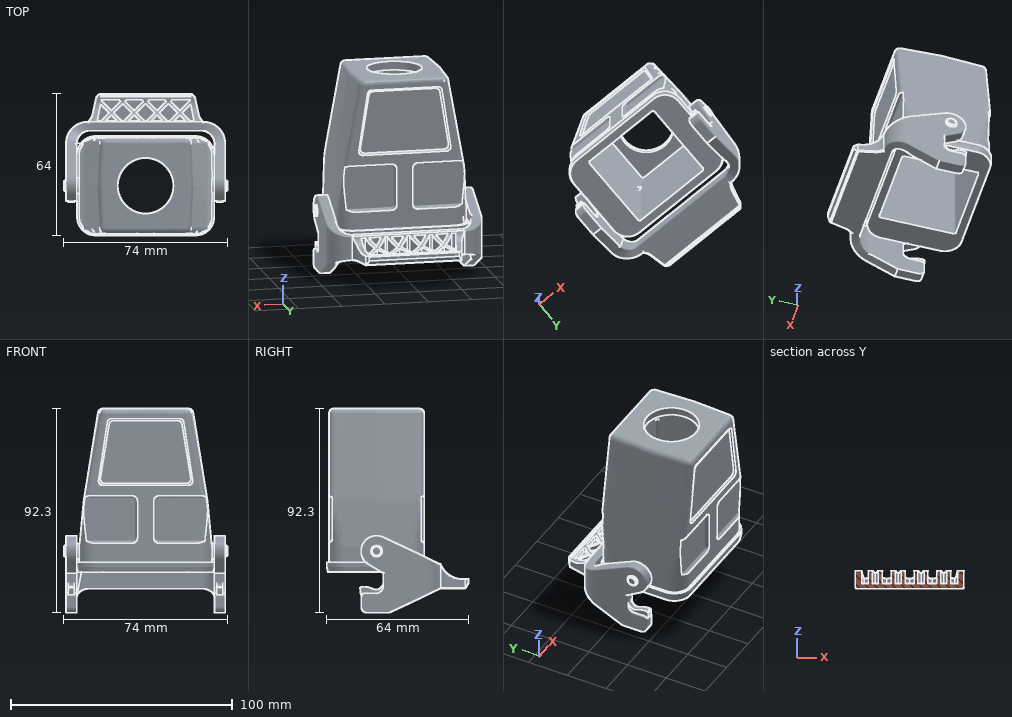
import cadquery as cq
import math


hood_height = 73.9
hood_half_depth = 21.55
base_half_width = 30.0
waist_half_width = 28.0
top_half_width = 21.25
top_side_slope = 0.048
lower_side_slope = 0.005
base_corner_radius = 7.5
shoulder_corner_radius = 7.0
upper_corner_radius = 2.6
top_edge_radius = 2.4
taper_start_z = 11.3
shoulder_z = 15.0
blend_end_z = 28.3
waist_z = 32.2

flange_half_width = 31.0
flange_half_depth = 22.5
flange_corner_radius = 8.5
flange_height = 4.6
flange_draft_height = 2.3
flange_draft = 0.5

cable_hole_diameter = 25.0
ceiling_thickness = 4.0
cavity_half_width = 19.0
cavity_half_depth = 18.0
cavity_top_half_width = 17.0
cavity_corner_radius = 1.0
cavity_taper_z = 57.7

window_depth = 0.8
window_bottom = 39.2
window_top = 69.3
window_bottom_half_width = 21.6
window_top_half_width = 17.0
window_border = 0.85
window_corner_radius = 2.0
grip_depth = 1.45
grip_inner_x = 3.65
grip_bottom = 13.05
grip_top = 34.5
grip_side_border = 1.15
grip_top_border = 0.65
grip_corner_radius = 2.5
grip_floor_corner_radius = 1.2
grip_floor_fillet = 0.35

pivot_z = 9.5
pivot_boss_diameter = 7.0
pivot_pin_diameter = 5.1
pivot_pin_end = 37.0
pivot_pin_chamfer = 0.55

arm_inner_x = flange_half_width
arm_outer_x = 36.0
arm_end_radius = 7.0
arm_bottom = -18.4
arm_bottom_corner_y = 5.6
arm_tip_y = -6.95
arm_tip_radius = 2.8
bar_outer_y = 28.9
bar_inner_y = 24.8
bar_top = 3.7
bar_bottom = -7.5
bend_start_y = 19.0
bend_outer_radius = bar_outer_y - bend_start_y
bend_inner_radius = bar_inner_y - bend_start_y
bend_curve_steps = 12
lever_edge_radius = 0.55
tolerance = 0.001

slot_wall_y = 3.0
slot_top = -0.4
slot_bottom = -9.5
slot_radius = 3.2
jaw_corner_radius = 1.6

latch_width = 2.8
latch_bottom = -10.1
latch_embedment = 1.0
latch_top = -5.0
latch_tip = (-7.5, -7.1)
latch_foot_y = -7.2
latch_curve = [(2.0, -6.9), (0.0, -7.85), (-2.5, -7.1), (-5.0, -6.5), (-7.0, -6.6)]

handle_tip_y = 41.5
handle_top = -3.0
handle_flat_y = 37.7
handle_slope_middle = (31.5, -0.2)
handle_flare_middle = (24.8, 30.3)
handle_tip_half_width = 22.3
handle_tip_corner = 1.5
handle_flare_y = 32.3
handle_flare_half_width = 24.0
handle_root_half_width = 26.0
handle_root_inset = 1.0
handle_undercut_y = 1.5
handle_undercut_z = 2.5
handle_bottom_chamfer = 0.45
handle_groove_size = 0.3
handle_groove_pitch = 0.6
handle_groove_half_length = 20.3

grille_floor = -5.0
grille_front_y = 29.3
grille_back_y = 38.7
grille_front_half_width = 21.8
grille_back_half_width = 20.0
grille_crossings = 4
grille_pitch = 10.3
grille_crossing_y = 32.9
grille_rib_width = 1.4


def rounded_section(half_width, half_depth, radius, z, side_slope=0.0):
    """Horizontal rounded rectangle; its two sides are widest at Y = 0 and slope away from there."""
    x, y = half_width - side_slope * (half_depth - radius), half_depth
    cut = radius * (1 - math.sqrt(0.5))
    return (
        cq.Workplane("XY", origin=(0, 0, z))
        .moveTo(-x + radius, -y)
        .lineTo(x - radius, -y)
        .threePointArc((x - cut, -y + cut), (x, -y + radius))
        .lineTo(half_width, 0)
        .lineTo(x, y - radius)
        .threePointArc((x - cut, y - cut), (x - radius, y))
        .lineTo(-x + radius, y)
        .threePointArc((-x + cut, y - cut), (-x, y - radius))
        .lineTo(-half_width, 0)
        .lineTo(-x, -y + radius)
        .threePointArc((-x + cut, -y + cut), (-x + radius, -y))
        .close()
        .val()
    )


def ruled_loft(sections):
    return cq.Workplane(cq.Solid.makeLoft(sections, True))


def hood_shell():
    depth = hood_half_depth

    def lower_section(radius, z):
        lean_share = max(0, z - taper_start_z) / (waist_z - taper_start_z)
        half_width = base_half_width + lean_share * (waist_half_width - base_half_width)
        return rounded_section(half_width, depth, radius, z, lower_side_slope)

    sections = [
        lower_section(base_corner_radius, 0),
        lower_section(base_corner_radius, taper_start_z),
        lower_section(shoulder_corner_radius, shoulder_z),
        lower_section(upper_corner_radius, blend_end_z),
        lower_section(upper_corner_radius, waist_z),
        rounded_section(top_half_width, depth, upper_corner_radius, hood_height, top_side_slope),
    ]
    return ruled_loft(sections).faces(">Z").edges().fillet(top_edge_radius)


def flange():
    def section(inset, z):
        return rounded_section(
            flange_half_width - inset, flange_half_depth - inset, flange_corner_radius - inset, z
        )

    return ruled_loft(
        [section(flange_draft, 0), section(0, flange_draft_height), section(0, flange_height)]
    )


def cavity():
    shaft = (
        cq.Workplane("XY")
        .rect(2 * cavity_half_width, 2 * cavity_half_depth)
        .extrude(cavity_taper_z)
        .edges("|Z")
        .fillet(cavity_corner_radius)
    )
    throat = (
        cq.Workplane("XZ", origin=(0, cavity_half_depth, 0))
        .polyline(
            [
                (-cavity_half_width, cavity_taper_z),
                (cavity_half_width, cavity_taper_z),
                (cavity_top_half_width, hood_height - ceiling_thickness),
                (-cavity_top_half_width, hood_height - ceiling_thickness),
            ]
        )
        .close()
        .extrude(2 * cavity_half_depth)
        .edges("not (|Y or |X)")
        .fillet(cavity_corner_radius)
    )
    return shaft.union(throat)


def panel_section(corners, radius, depth):
    """Rounded polygon of (x, z) corners, set `depth` inside the front face."""
    plane = cq.Plane(origin=(0, -hood_half_depth + depth, 0), xDir=(1, 0, 0), normal=(0, -1, 0))
    outline = cq.Workplane(plane).polyline(corners).close().wire().val()
    return outline.fillet2D(radius, outline.Vertices())


def panel(face_corners, floor_corners, face_radius, floor_radius, depth):
    face = panel_section(face_corners, face_radius, 0)
    floor = panel_section(floor_corners, floor_radius, depth)
    return ruled_loft([floor, face])


def window():
    def corners(border):
        low, high = window_bottom_half_width - border, window_top_half_width - border
        bottom, top = window_bottom + border, window_top - border
        return [(-low, bottom), (low, bottom), (high, top), (-high, top)]

    return panel(
        corners(0), corners(window_border), window_corner_radius, window_corner_radius, window_depth
    )


def grip():
    outside_x = arm_outer_x

    def corners(side_border, top_border):
        left, bottom, top = grip_inner_x + side_border, grip_bottom + side_border, grip_top - top_border
        return [(left, bottom), (outside_x, bottom), (outside_x, top), (left, top)]

    return panel(
        corners(0, 0),
        corners(grip_side_border, grip_top_border),
        grip_corner_radius,
        grip_floor_corner_radius,
        grip_depth,
    ).faces(">Y").edges().fillet(grip_floor_fillet)


def pivot_pin():
    boss_start = cavity_half_width
    boss = (
        cq.Workplane("YZ", origin=(boss_start, 0, pivot_z))
        .circle(pivot_boss_diameter / 2)
        .extrude(arm_inner_x - boss_start)
    )
    pin = (
        cq.Workplane("YZ", origin=(boss_start, 0, pivot_z))
        .circle(pivot_pin_diameter / 2)
        .extrude(pivot_pin_end - boss_start)
        .faces(">X")
        .chamfer(pivot_pin_chamfer)
    )
    return boss.union(pin)


def make_hood():
    hood = hood_shell()
    right_grip = grip()
    for front_recess in (window(), right_grip, right_grip.mirror("YZ")):
        hood = hood.cut(front_recess).cut(front_recess.mirror("XZ"))
    hood = hood.union(flange()).cut(cavity())
    cable_hole = cq.Workplane("XY").circle(cable_hole_diameter / 2).extrude(hood_height)
    hood = hood.cut(cable_hole)
    pin = pivot_pin()
    return hood.union(pin).union(pin.mirror("YZ"))


def tangent_point(y, z, side):
    """Point where the line from (y, z) touches the round arm end; side is +1 or -1."""
    dy, dz = y, z - pivot_z
    angle = math.atan2(dz, dy) + side * math.acos(arm_end_radius / math.hypot(dy, dz))
    return (arm_end_radius * math.cos(angle), pivot_z + arm_end_radius * math.sin(angle))


top_touch = tangent_point(bar_outer_y, bar_top, 1)
slot_touch = tangent_point(slot_wall_y, slot_top, -1)
top_slope = (bar_top - top_touch[1]) / (bar_outer_y - top_touch[0])
bottom_slope = (bar_bottom - arm_bottom) / (bar_outer_y - arm_bottom_corner_y)


def arm_top_z(y):
    return bar_top + top_slope * (y - bar_outer_y)


def arm_bottom_z(y):
    return bar_bottom + bottom_slope * (y - bar_outer_y)


def arm():
    outline = (
        cq.Workplane("YZ", origin=(arm_inner_x, 0, 0))
        .moveTo(bend_start_y, arm_top_z(bend_start_y))
        .lineTo(*top_touch)
        .threePointArc((-arm_end_radius, pivot_z), slot_touch)
        .lineTo(slot_wall_y, slot_top)
        .lineTo(slot_wall_y, slot_bottom + slot_radius)
        .radiusArc((slot_wall_y - slot_radius, slot_bottom), slot_radius)
        .lineTo(arm_tip_y + jaw_corner_radius, slot_bottom)
        .radiusArc((arm_tip_y, slot_bottom - jaw_corner_radius), -jaw_corner_radius)
        .lineTo(arm_tip_y, arm_bottom + arm_tip_radius)
        .radiusArc((arm_tip_y + arm_tip_radius, arm_bottom), -arm_tip_radius)
        .lineTo(arm_bottom_corner_y, arm_bottom)
        .lineTo(bend_start_y, arm_bottom_z(bend_start_y))
        .close()
    )
    return outline.extrude(arm_outer_x - arm_inner_x)


def bend_edge(radius, center_x, edge_height):
    """Curve round the bend; its height follows the outer face at the same angle."""
    points = []
    for step in range(bend_curve_steps + 1):
        angle = math.pi / 2 * step / bend_curve_steps
        height = edge_height(bend_start_y + bend_outer_radius * math.sin(angle))
        points.append(
            cq.Vector(
                center_x + radius * math.cos(angle), bend_start_y + radius * math.sin(angle), height
            )
        )
    return cq.Edge.makeSpline(points)


def bend():
    outer_x = arm_outer_x - bend_outer_radius
    inner_x = arm_inner_x - bend_inner_radius
    outer_top = bend_edge(bend_outer_radius, outer_x, arm_top_z)
    outer_bottom = bend_edge(bend_outer_radius, outer_x, arm_bottom_z)
    inner_top = bend_edge(bend_inner_radius, inner_x, arm_top_z)
    inner_bottom = bend_edge(bend_inner_radius, inner_x, arm_bottom_z)
    faces = [
        cq.Face.makeRuledSurface(outer_bottom, outer_top),
        cq.Face.makeRuledSurface(inner_bottom, inner_top),
        cq.Face.makeRuledSurface(inner_top, outer_top),
        cq.Face.makeRuledSurface(inner_bottom, outer_bottom),
    ]
    for end in (cq.Edge.startPoint, cq.Edge.endPoint):
        corners = [end(edge) for edge in (outer_top, outer_bottom, inner_bottom, inner_top)]
        faces.append(cq.Face.makeFromWires(cq.Wire.makePolygon(corners, close=True)))
    return cq.Workplane(cq.Solid.makeSolid(cq.Shell.makeShell(faces)))


def half_crossbar():
    outer_end = arm_outer_x - bend_outer_radius
    inner_end = arm_inner_x - bend_inner_radius
    return (
        cq.Workplane("XY", origin=(0, 0, bar_bottom))
        .polyline([(0, bar_inner_y), (inner_end, bar_inner_y), (outer_end, bar_outer_y), (0, bar_outer_y)])
        .close()
        .extrude(bar_top - bar_bottom)
    )


def latch():
    root_y = slot_wall_y + latch_embedment
    return (
        cq.Workplane("YZ", origin=((arm_inner_x + arm_outer_x - latch_width) / 2, 0, 0))
        .moveTo(root_y, latch_top)
        .lineTo(slot_wall_y, latch_top)
        .spline(latch_curve, includeCurrent=True)
        .lineTo(*latch_tip)
        .lineTo(latch_foot_y, latch_bottom)
        .lineTo(root_y, latch_bottom)
        .close()
        .extrude(latch_width)
    )


def handle():
    root_y = (bar_inner_y + bar_outer_y) / 2
    side_profile = (
        cq.Workplane("YZ")
        .moveTo(root_y, bar_bottom)
        .lineTo(root_y, bar_top)
        .lineTo(bar_outer_y, bar_top)
        .threePointArc(handle_slope_middle, (handle_flat_y, handle_top))
        .lineTo(handle_tip_y, handle_top)
        .lineTo(handle_tip_y, bar_bottom + handle_undercut_z)
        .lineTo(handle_tip_y - handle_undercut_y, bar_bottom)
        .close()
        .extrude(handle_root_half_width, both=True)
    )
    half_plan = (
        cq.Workplane("XY", origin=(0, 0, arm_bottom))
        .moveTo(0, root_y)
        .lineTo(handle_root_half_width - handle_root_inset, root_y)
        .lineTo(handle_root_half_width, bar_outer_y)
        .threePointArc(handle_flare_middle, (handle_flare_half_width, handle_flare_y))
        .lineTo(handle_tip_half_width, handle_tip_y - handle_tip_corner)
        .lineTo(handle_tip_half_width - handle_tip_corner, handle_tip_y)
        .lineTo(0, handle_tip_y)
        .close()
        .extrude(bar_top - arm_bottom)
    )
    grip = side_profile.intersect(half_plan.union(half_plan.mirror("YZ")))
    grip = grip.faces("<Z").edges("not <Y").chamfer(handle_bottom_chamfer)
    for groove_number in (1, 2):
        groove_y = handle_tip_y - groove_number * handle_groove_pitch
        groove = (
            cq.Workplane("XY", origin=(0, groove_y, handle_top - handle_groove_size))
            .rect(2 * handle_groove_half_length, handle_groove_size)
            .extrude(2 * handle_groove_size)
        )
        grip = grip.cut(groove)
    return grip


def grille_pockets():
    front, back = grille_front_half_width, grille_back_half_width
    height = bar_top - grille_floor
    pockets = (
        cq.Workplane("XY", origin=(0, 0, grille_floor))
        .polyline(
            [(-front, grille_front_y), (front, grille_front_y), (back, grille_back_y), (-back, grille_back_y)]
        )
        .close()
        .extrude(height)
    )
    for number in range(grille_crossings):
        crossing_x = (number - (grille_crossings - 1) / 2) * grille_pitch
        for angle in (-45, 45):
            rib = (
                cq.Workplane("XY")
                .box(2 * grille_pitch, grille_rib_width, height, centered=(True, True, False))
                .rotate((0, 0, 0), (0, 0, 1), angle)
                .translate((crossing_x, grille_crossing_y, grille_floor))
            )
            pockets = pockets.cut(rib)
    return pockets


def on_outer_rim(edge):
    """True for an edge that borders the outer face of an arm, a bend or the crossbar."""
    start, end = edge.startPoint(), edge.endPoint()
    seam = start.y >= bend_start_y and math.hypot(end.x - start.x, end.y - start.y) < tolerance
    ends_outside = all(
        abs(point.x - arm_outer_x) < tolerance or abs(point.y - bar_outer_y) < tolerance
        for point in (start, end)
    )
    return ends_outside and not seam


def on_inner_bar_rim(edge):
    """True for an edge that borders the inner face of the crossbar along its length."""
    start, end = edge.startPoint(), edge.endPoint()
    level = abs(end.z - start.z) < tolerance
    return level and all(abs(point.y - bar_inner_y) < tolerance for point in (start, end))


def make_lever():
    half = arm().union(bend()).union(half_crossbar())
    rim = [edge for edge in half.edges().vals() if on_outer_rim(edge) or on_inner_bar_rim(edge)]
    half = half.newObject(rim).fillet(lever_edge_radius)
    frame = half.union(half.mirror("YZ"))
    frame = frame.union(latch()).union(latch().mirror("YZ"))
    lever = frame.union(handle()).cut(grille_pockets())
    pin_hole = (
        cq.Workplane("YZ", origin=(0, 0, pivot_z))
        .circle(pivot_pin_diameter / 2)
        .extrude(pivot_pin_end, both=True)
    )
    return lever.cut(pin_hole)


hood = make_hood()
lever = make_lever()
result = cq.Compound.makeCompound([hood.solids().val(), lever.solids().val()])